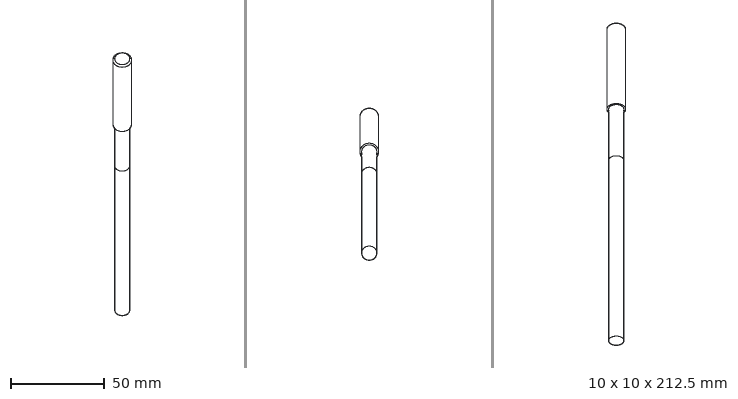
import cadquery as cq
import math

shank_diameter = 10.0
shank_length = 55.0
shank_chamfer = 1.0
drill_diameter = 8.1
body_length = 211.0
cutting_length = 121.5
point_angle = 140.0

shank_radius = shank_diameter / 2
drill_radius = drill_diameter / 2
point_height = drill_radius / math.tan(math.radians(point_angle / 2))

corner_z = 0.0
tip_z = corner_z - point_height
joint_z = corner_z + cutting_length
top_z = corner_z + body_length
shoulder_z = top_z - shank_length


def revolved(outline):
    """Turn a closed (radius, height) outline about the Z axis."""
    profile = cq.Workplane("XZ").polyline(outline).close()
    return profile.revolve(360, (0, 0, 0), (0, 1, 0))


cutting_part = revolved([
    (0, tip_z),
    (drill_radius, corner_z),
    (drill_radius, joint_z),
    (0, joint_z),
])

holder = revolved([
    (0, joint_z),
    (drill_radius, joint_z),
    (drill_radius, shoulder_z),
    (shank_radius, shoulder_z),
    (shank_radius, top_z - shank_chamfer),
    (shank_radius - shank_chamfer, top_z),
    (0, top_z),
])

result = cq.Compound.makeCompound([cutting_part.val(), holder.val()])